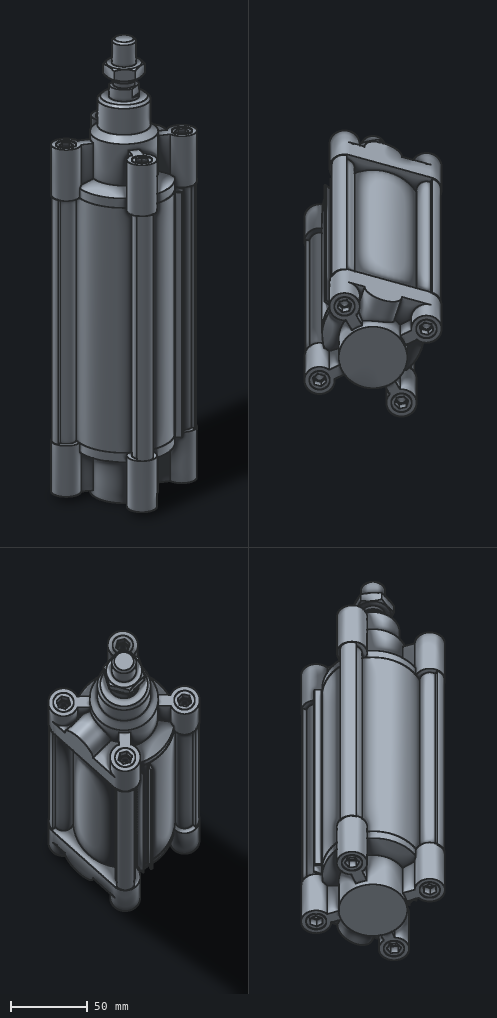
import cadquery as cq
import math

TOTAL_HEIGHT = 320.3
CORNER_PITCH = 56.0
BOSS_DIAMETER = 20.0
COLLAR_DIAMETER = 45.0

BARREL_BOTTOM = 40.5
BARREL_LENGTH = 173.5
BARREL_DIAMETER = 67.0
CORNER_BAR_DIAMETER = 13.0
SHIELD_CENTER = 29.0
SHIELD_RADIUS = 8.0

STRAIGHT_LIP = [(27.2, 17.3), (34.5, 17.3), (34.5, 18.0), (27.2, 18.0)]
HOOKED_LIP = [(31.5, 9.5), (33.0, 9.5), (36.8, 11.2), (36.8, 12.5), (36.0, 12.5), (32.7, 11.0), (31.5, 11.0)]

FLANGE_DIAMETER = 66.5
FLANGE_THICKNESS = 6.7
FLANGE_CONE_HEIGHT = 4.5
BOSS_HEIGHT = 36.2
RIB_WIDTH = 7.7
PORT_RADIUS = 12.8
PORT_OFFSET = 4.5
PORT_AXIS_HEIGHT = 19.2
BOLT_RING_DIAMETER = 13.5
BOLT_RING_DEPTH = 0.5
SOCKET_CORNER_DIAMETER = 9.3
SOCKET_DEPTH = 7.0
BOLT_BORE_DIAMETER = 6.7
BOLT_BORE_DEPTH = 16.0
COLLAR_TOP = 254.5
NECK_DIAMETER = 35.0
NECK_BOTTOM = 259.0
NECK_TOP = 279.5
NECK_CHAMFER = 2.0

ROD_DIAMETER = 20.0
ROD_SHOULDER = 288.0
FLAT_BOTTOM = 281.5
FLAT_WIDTH = 17.3
GROOVE_DIAMETER = 14.5
GROOVE_TOP = 291.5
THREAD_DIAMETER = 16.0
THREAD_CHAMFER = 1.5

NUT_WIDTH = 24.0
NUT_BOTTOM = 294.7
NUT_HEIGHT = 8.5
NUT_FACE_DIAMETER = 23.5
NUT_CHAMFER_ANGLE = 30.0

BARREL_TOP = BARREL_BOTTOM + BARREL_LENGTH
BOSS_OFFSET = CORNER_PITCH / 2
CAP_EDGE = BOSS_OFFSET + BOSS_DIAMETER / 2
QUARTER_TURNS = (0, 90, 180, 270)


def cylinder(diameter, bottom, top):
    return cq.Workplane("XY").workplane(offset=bottom).circle(diameter / 2).extrude(top - bottom)


def cone(bottom_diameter, top_diameter, bottom, top):
    profile = [(0, bottom), (bottom_diameter / 2, bottom), (top_diameter / 2, top), (0, top)]
    return cq.Workplane("XZ").polyline(profile).close().revolve(360, (0, 0, 0), (0, 1, 0))


def turned(shape, angle):
    return shape.rotate((0, 0, 0), (0, 0, 1), angle)


def corner_bar():
    """Round bar in the (+X, +Y) corner, with a quarter-round shield on its outer side."""
    plane = cq.Workplane("XY").workplane(offset=BARREL_BOTTOM)
    bar = plane.center(BOSS_OFFSET, BOSS_OFFSET).circle(CORNER_BAR_DIAMETER / 2).extrude(BARREL_LENGTH)
    middle = SHIELD_RADIUS * math.sqrt(0.5)
    shield = (
        plane.center(SHIELD_CENTER, SHIELD_CENTER)
        .lineTo(SHIELD_RADIUS, 0)
        .threePointArc((middle, middle), (0, SHIELD_RADIUS))
        .close()
        .extrude(BARREL_LENGTH)
    )
    return bar.union(shield)


def sensor_rail():
    """Sensor channel on the +X side: a straight lip and a hooked lip standing on the barrel."""
    plane = cq.Workplane("XY").workplane(offset=BARREL_BOTTOM)
    rail = plane.polyline(STRAIGHT_LIP).close().extrude(BARREL_LENGTH)
    return rail.union(plane.polyline(HOOKED_LIP).close().extrude(BARREL_LENGTH))


def make_barrel():
    barrel = cylinder(BARREL_DIAMETER, BARREL_BOTTOM, BARREL_TOP)
    for angle in QUARTER_TURNS:
        barrel = barrel.union(turned(corner_bar(), angle))
    rail = sensor_rail()
    return barrel.union(rail).union(rail.mirror("YZ"))


def boss_and_rib():
    """Corner boss on the (+X, +Y) diagonal and the rib that ties it to the cap's core."""
    boss = cq.Workplane("XY").center(BOSS_OFFSET, BOSS_OFFSET).circle(BOSS_DIAMETER / 2).extrude(BOSS_HEIGHT)
    rib_length = BOSS_OFFSET * math.sqrt(2)
    rib = cq.Workplane("XY").center(rib_length / 2, 0).rect(rib_length, RIB_WIDTH).extrude(BOSS_HEIGHT)
    return boss.union(turned(rib, 45))


def bolt_recess():
    """Shallow ring, hexagon socket and bore in the end of the (+X, +Y) boss."""
    end = cq.Workplane("XY").workplane(offset=BOSS_HEIGHT)
    recess = end.circle(BOLT_RING_DIAMETER / 2).extrude(-BOLT_RING_DEPTH)
    socket = turned(end.polygon(6, SOCKET_CORNER_DIAMETER).extrude(-SOCKET_DEPTH), 90)
    bore = end.circle(BOLT_BORE_DIAMETER / 2).extrude(-BOLT_BORE_DEPTH)
    return recess.union(socket).union(bore).translate((BOSS_OFFSET, BOSS_OFFSET, 0))


def port_block():
    """Block between the two +Y bosses, with the rounded port housing on it."""
    outline = [
        (0, 0),
        (BOSS_OFFSET, BOSS_OFFSET),
        (BOSS_OFFSET, CAP_EDGE),
        (-BOSS_OFFSET, CAP_EDGE),
        (-BOSS_OFFSET, BOSS_OFFSET),
    ]
    block = cq.Workplane("XY").polyline(outline).close().extrude(PORT_AXIS_HEIGHT)
    housing = (
        cq.Workplane("XZ").center(PORT_OFFSET, PORT_AXIS_HEIGHT).circle(PORT_RADIUS).extrude(-CAP_EDGE)
    )
    return block.union(housing)


def make_cap():
    """Features shared by both caps; the face that meets the barrel is at Z = 0."""
    cone_top = FLANGE_THICKNESS + FLANGE_CONE_HEIGHT
    cap = cylinder(FLANGE_DIAMETER, 0, FLANGE_THICKNESS)
    cap = cap.union(cone(FLANGE_DIAMETER, COLLAR_DIAMETER, FLANGE_THICKNESS, cone_top))
    cap = cap.union(port_block())
    for angle in QUARTER_TURNS:
        cap = cap.union(turned(boss_and_rib(), angle))
    for angle in QUARTER_TURNS:
        cap = cap.cut(turned(bolt_recess(), angle))
    return cap


def make_head_cap():
    cap = make_cap().translate((0, 0, BARREL_TOP))
    cap = cap.union(cylinder(COLLAR_DIAMETER, BARREL_TOP, COLLAR_TOP))
    cap = cap.union(cone(COLLAR_DIAMETER, NECK_DIAMETER, COLLAR_TOP, NECK_BOTTOM))
    neck = cylinder(NECK_DIAMETER, NECK_BOTTOM, NECK_TOP).faces(">Z").chamfer(NECK_CHAMFER)
    return cap.union(neck).cut(cylinder(ROD_DIAMETER, BARREL_TOP, NECK_TOP))


def make_end_cap():
    cap = make_cap().mirror("XY").translate((0, 0, BARREL_BOTTOM))
    return cap.union(cylinder(COLLAR_DIAMETER, 0, BARREL_BOTTOM))


def make_piston_rod():
    flats = (
        cq.Workplane("XY").workplane(offset=FLAT_BOTTOM)
        .rect(FLAT_WIDTH, ROD_DIAMETER)
        .extrude(ROD_SHOULDER - FLAT_BOTTOM)
    )
    rod = cylinder(ROD_DIAMETER, BARREL_TOP, FLAT_BOTTOM)
    rod = rod.union(cylinder(ROD_DIAMETER, FLAT_BOTTOM, ROD_SHOULDER).intersect(flats))
    rod = rod.union(cylinder(GROOVE_DIAMETER, ROD_SHOULDER, GROOVE_TOP))
    thread = cylinder(THREAD_DIAMETER, GROOVE_TOP, TOTAL_HEIGHT).faces(">Z").chamfer(THREAD_CHAMFER)
    return rod.union(thread)


def make_nut():
    corner_diameter = NUT_WIDTH / math.cos(math.radians(30))
    top = NUT_BOTTOM + NUT_HEIGHT
    drop = (corner_diameter - NUT_FACE_DIAMETER) / 2 * math.tan(math.radians(NUT_CHAMFER_ANGLE))
    hexagon = cq.Workplane("XY").workplane(offset=NUT_BOTTOM).polygon(6, corner_diameter).extrude(NUT_HEIGHT)
    envelope = (
        cone(NUT_FACE_DIAMETER, corner_diameter, NUT_BOTTOM, NUT_BOTTOM + drop)
        .union(cylinder(corner_diameter, NUT_BOTTOM + drop, top - drop))
        .union(cone(corner_diameter, NUT_FACE_DIAMETER, top - drop, top))
    )
    return turned(hexagon, 90).intersect(envelope).cut(cylinder(THREAD_DIAMETER, NUT_BOTTOM, top))


barrel = make_barrel()
head_cap = make_head_cap()
end_cap = make_end_cap()
piston_rod = make_piston_rod()
nut = make_nut()

bodies = [barrel, head_cap, end_cap, piston_rod, nut]
result = cq.Compound.makeCompound([body.solids().val() for body in bodies])